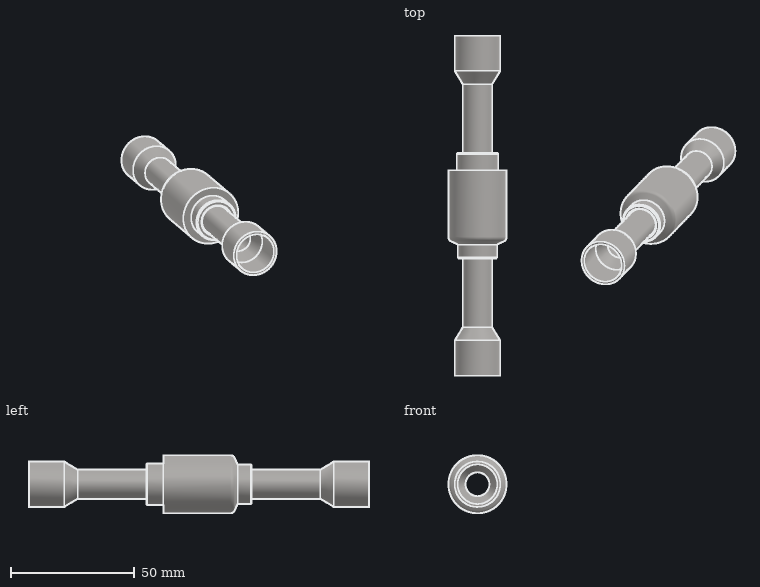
import cadquery as cq
import math

total_length = 138.2
half_length = total_length / 2

tube_outer_diameter = 12.0
tube_bore_diameter = 9.6
socket_outer_diameter = 18.5
wall = (tube_outer_diameter - tube_bore_diameter) / 2
socket_bore_diameter = socket_outer_diameter - 2 * wall
socket_length = 14.4
socket_flare_length = 5.4

body_diameter = 23.7
body_rear_y = 14.5
body_front_y = -12.7
shoulder_radius = 2.0
shoulder_angle = math.radians(65)

rear_collar_diameter = 17.0
rear_collar_end_y = 21.5
front_collar_diameter = 16.1
front_collar_end_y = -rear_collar_end_y
collar_chamfer = 0.5


def revolve_about_y(profile):
    """Turn a closed (radius, y) profile into a solid of revolution."""
    return profile.close().revolve(360, (0, 0, 0), (0, 1, 0))


def flared_tube(tube_diameter, socket_diameter):
    """Solid with the tube diameter in the middle and a socket at each end."""
    socket_inner_y = half_length - socket_length
    flare_inner_y = socket_inner_y - socket_flare_length
    return revolve_about_y(
        cq.Workplane("XY")
        .moveTo(0, -half_length)
        .lineTo(socket_diameter / 2, -half_length)
        .lineTo(socket_diameter / 2, -socket_inner_y)
        .lineTo(tube_diameter / 2, -flare_inner_y)
        .lineTo(tube_diameter / 2, flare_inner_y)
        .lineTo(socket_diameter / 2, socket_inner_y)
        .lineTo(socket_diameter / 2, half_length)
        .lineTo(0, half_length)
    )


def body():
    """Barrel whose front edge rounds into a cone that runs down to the front collar."""
    body_radius = body_diameter / 2
    front_collar_radius = front_collar_diameter / 2
    arc_centre_radius = body_radius - shoulder_radius

    def arc_point(angle):
        return (
            arc_centre_radius + shoulder_radius * math.cos(angle),
            body_front_y - shoulder_radius * math.sin(angle),
        )

    arc_end_radius, arc_end_y = arc_point(shoulder_angle)
    cone_length = (arc_end_radius - front_collar_radius) / math.tan(shoulder_angle)
    cone_end_y = arc_end_y - cone_length
    return revolve_about_y(
        cq.Workplane("XY")
        .moveTo(0, body_rear_y)
        .lineTo(body_radius, body_rear_y)
        .lineTo(body_radius, body_front_y)
        .threePointArc(arc_point(shoulder_angle / 2), (arc_end_radius, arc_end_y))
        .lineTo(front_collar_radius, cone_end_y)
        .lineTo(0, cone_end_y)
    )


def collar(diameter, end_y):
    """Sleeve around the tube, chamfered on the outer and inner rim of its free end."""
    outer_radius = diameter / 2
    tube_radius = tube_outer_diameter / 2
    chamfer_start_y = end_y - math.copysign(collar_chamfer, end_y)
    return revolve_about_y(
        cq.Workplane("XY")
        .moveTo(0, 0)
        .lineTo(outer_radius, 0)
        .lineTo(outer_radius, chamfer_start_y)
        .lineTo(outer_radius - collar_chamfer, end_y)
        .lineTo(tube_radius + collar_chamfer, end_y)
        .lineTo(tube_radius, chamfer_start_y)
        .lineTo(0, chamfer_start_y)
    )


result = (
    flared_tube(tube_outer_diameter, socket_outer_diameter)
    .union(body())
    .union(collar(rear_collar_diameter, rear_collar_end_y))
    .union(collar(front_collar_diameter, front_collar_end_y))
    .cut(flared_tube(tube_bore_diameter, socket_bore_diameter))
)